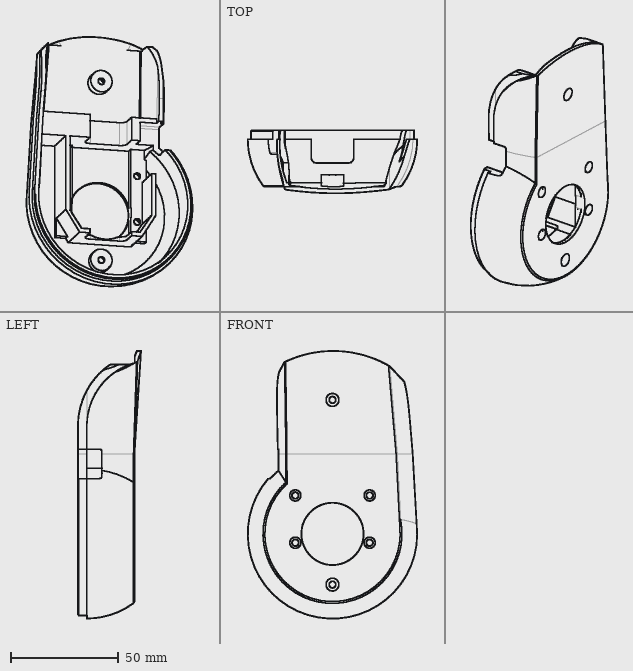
import cadquery as cq
import math


WALL = 2.0
LIP_STEP = 1.5
LIP_THICKNESS = 2.0
LIP_HEIGHT = 4.2
RIM_Y = 26.4
WALL_Y = RIM_Y - LIP_HEIGHT
LIP_INSET = LIP_STEP + LIP_THICKNESS
EDGE_BEVEL = 0.5

BOWL_RADIUS = 39.5
FACE_RADIUS = 32.0

SPOUT_BASE = (0.0, -21.6, -24.6, -25.4, 32.0, 37.7, 39.5)
SPOUT_MIDDLE = (37.4, -21.7, -24.6, -25.5, 30.1, 35.5, 37.4)
SPOUT_TOP = (86.0, -22.4, -25.5, -26.4, 25.9, 31.3, 33.3)
MID_DEPTH = WALL_Y / 2
TOP_CORNER_Y = -1.6
TOP_CROWN_Y = -3.12

TOP_LEFT = (-22.4, 80.0)
TOP_CROWN = (0.0, 85.24)
TOP_RIGHT = (26.5, 78.2)
SHOULDER_LEFT = (-27.0, 71.5)
SHOULDER_RIGHT = (34.0, 70.3)

OPENING_RADIUS = 30.3
OPENING_Z = 50.4
FACE_EDGE_Y = 0.0
LIP_TOP_Z = 79.0
TOP_THICKENING = 2.5

BORE_RADIUS = 14.45
FRAME_BORE_RADIUS = 15.0
SCREW_DIAMETER = 3.0
LARGE_HEAD_DIAMETER = 6.0
SMALL_HEAD_DIAMETER = 5.2
LARGE_SCREWS = [(0.0, 62.4), (0.0, -23.6)]
SMALL_SCREW_X = 17.3
SMALL_SCREW_Z = [17.9, -4.1]
BOSS_DIAMETER = 10.3
BOSS_Y = 5.5
HEAD_FLOOR = 1.0

FRAME_FLOOR_Z = -13.5
FRAME_FLOOR_HALF = 14.1
FRAME_SIDE_X = 19.7
FRAME_SHOULDER_Z = -5.0
FRAME_TOP_Z = 30.5
FRAME_LEFT_TOP_Z = 15.0
CROSS_WALL_THICKNESS = 11.0
CABLE_SLOT_WIDTH = 20.0
CABLE_SLOT_Y = 11.0
CABLE_SLOT_ROUND = 3.0

NOTCH_Y = 15.2
NOTCH_Z = (25.8, 39.4)
NOTCH_ROUND = 1.0
NOTCH_INNER_X = -FRAME_FLOOR_HALF

FAR = 100.0


def box(x_range, y_range, z_range):
    """Axis-aligned box from three (low, high) ranges."""
    size = [high - low for low, high in (x_range, y_range, z_range)]
    corner = (x_range[0], y_range[0], z_range[0])
    return cq.Workplane("XY").box(*size, centered=False).translate(corner)


def cylinder_y(x, z, diameter, y_start, y_end):
    """Cylinder along Y."""
    plane = cq.Workplane("XZ", origin=(x, y_start, z))
    return plane.circle(diameter / 2).extrude(y_start - y_end)


def bowl_arc_radius(y):
    """Outer bowl radius at depth y: an arc that meets the rim parallel to Y."""
    growth = BOWL_RADIUS - FACE_RADIUS
    arc = (growth**2 + WALL_Y**2) / (2 * growth)
    return BOWL_RADIUS - arc + math.sqrt(arc**2 - (WALL_Y - y) ** 2)


def revolve_y(outline):
    return outline.close().revolve(360, (0, 0, 0), (0, 1, 0))


def bowl_outside():
    return revolve_y(
        cq.Workplane("XY")
        .lineTo(FACE_RADIUS - EDGE_BEVEL, 0)
        .lineTo(bowl_arc_radius(EDGE_BEVEL), EDGE_BEVEL)
        .threePointArc((bowl_arc_radius(MID_DEPTH), MID_DEPTH), (BOWL_RADIUS, WALL_Y))
        .lineTo(BOWL_RADIUS - LIP_STEP, WALL_Y)
        .lineTo(BOWL_RADIUS - LIP_STEP, RIM_Y - EDGE_BEVEL)
        .lineTo(BOWL_RADIUS - LIP_STEP - EDGE_BEVEL, RIM_Y)
        .lineTo(0, RIM_Y)
    )


def bowl_cavity():
    lip_radius = BOWL_RADIUS - LIP_INSET
    halfway = (WALL + MID_DEPTH) / 2
    return revolve_y(
        cq.Workplane("XY")
        .moveTo(0, WALL)
        .lineTo(bowl_arc_radius(WALL) - WALL, WALL)
        .threePointArc((bowl_arc_radius(halfway) - WALL, halfway), (lip_radius, MID_DEPTH))
        .lineTo(lip_radius, RIM_Y)
        .lineTo(0, RIM_Y)
    )


def spout_section(section, face_inset, rim_inset, corner_y=0, crown_y=0, thickening=0):
    """Closed cross-section of the spout at one height, inset from its outer walls."""
    z, left_face, left_mid, left_rim, right_face, right_mid, right_rim = section
    mid_inset = (face_inset + rim_inset) / 2 + thickening
    front_y = corner_y + face_inset
    side_y = front_y + EDGE_BEVEL
    left_x = left_face + face_inset
    right_corner = (right_face - face_inset - EDGE_BEVEL, front_y)
    outline = cq.Workplane("XY", origin=(0, 0, z)).moveTo(left_x + EDGE_BEVEL, front_y)
    if crown_y == corner_y:
        outline = outline.lineTo(*right_corner)
    else:
        outline = outline.threePointArc((0, crown_y + face_inset), right_corner)
    outline = (
        outline
        .lineTo(right_face - face_inset, side_y)
        .threePointArc((right_mid - mid_inset, MID_DEPTH), (right_rim - rim_inset, WALL_Y))
        .lineTo(right_rim - rim_inset, RIM_Y)
        .lineTo(left_rim + rim_inset, RIM_Y)
        .lineTo(left_rim + rim_inset, WALL_Y)
        .threePointArc((left_mid + mid_inset, MID_DEPTH), (left_x, side_y))
        .close()
    )
    return outline.val()


def spout(face_inset, rim_inset, thickening=0):
    """Spout solid: straight-sided lofts below and above the middle section."""
    base = spout_section(SPOUT_BASE, face_inset, rim_inset)
    middle = spout_section(SPOUT_MIDDLE, face_inset, rim_inset)
    top = spout_section(SPOUT_TOP, face_inset, rim_inset, TOP_CORNER_Y, TOP_CROWN_Y, thickening)
    lower = cq.Solid.makeLoft([base, middle], True)
    upper = cq.Solid.makeLoft([middle, top], True)
    return cq.Workplane(lower).union(cq.Workplane(upper))


def opening_limit(depth, radius):
    """Material kept under the curved side opening, up to a given depth."""
    center_y = WALL_Y - OPENING_RADIUS
    diagonal = radius * math.sqrt(0.5)
    outline = (
        cq.Workplane("YZ", origin=(-FAR / 2, 0, 0))
        .moveTo(depth, -FAR)
        .lineTo(depth, OPENING_Z)
        .threePointArc((center_y + diagonal, OPENING_Z + diagonal), (center_y, OPENING_Z + radius))
        .lineTo(center_y, -FAR)
        .close()
    )
    return outline.extrude(FAR)


def top_outline():
    """Everything under the arched top edge."""
    slab = (
        cq.Workplane("XZ", origin=(0, FAR / 2, 0))
        .moveTo(-FAR, -FAR)
        .lineTo(-FAR, SHOULDER_LEFT[1])
        .lineTo(*SHOULDER_LEFT)
        .lineTo(*TOP_LEFT)
        .threePointArc(TOP_CROWN, TOP_RIGHT)
        .lineTo(*SHOULDER_RIGHT)
        .lineTo(FAR, SHOULDER_RIGHT[1])
        .lineTo(FAR, -FAR)
        .close()
    )
    return slab.extrude(FAR)


def outer_body():
    """Solid envelope: spout wall, its set-back lip, and the bowl."""
    whole_face = box((-FAR, FAR), (-FAR, FACE_EDGE_Y), (-FAR, FAR))
    wall_zone = opening_limit(WALL_Y, OPENING_RADIUS).union(whole_face)
    wall = spout(0, 0).intersect(wall_zone)
    lip_zone = opening_limit(RIM_Y, OPENING_RADIUS + LIP_HEIGHT)
    lip_zone = lip_zone.intersect(box((-FAR, FAR), (-FAR, FAR), (-FAR, LIP_TOP_Z)))
    lip = spout(LIP_STEP, LIP_STEP).intersect(lip_zone)
    return wall.union(lip).intersect(top_outline()).union(bowl_outside())


def frame_profile(offset):
    """Frame outline in XZ, with bevelled lower corners."""
    side = FRAME_SIDE_X + offset
    floor_half = FRAME_FLOOR_HALF + offset / 2
    floor = FRAME_FLOOR_Z - offset
    points = [
        (-side, FRAME_TOP_Z),
        (-side, FRAME_SHOULDER_Z),
        (-floor_half, floor),
        (floor_half, floor),
        (side, FRAME_SHOULDER_Z),
        (side, FRAME_TOP_Z),
    ]
    return cq.Workplane("XZ").polyline(points).close()


def motor_frame():
    """U-shaped frame closed by a cross wall, with a cable slot through both."""
    frame = frame_profile(WALL).extrude(-WALL_Y).cut(frame_profile(0).extrude(-WALL_Y))
    left_gap = box((-FAR, -FRAME_FLOOR_HALF), (0, FAR), (FRAME_LEFT_TOP_Z, FAR))
    frame = frame.cut(left_gap)
    cross_wall = box((-FAR, FAR), (WALL / 2, WALL_Y), (FRAME_TOP_Z, FRAME_TOP_Z + CROSS_WALL_THICKNESS))
    half_slot = CABLE_SLOT_WIDTH / 2
    slot = box((-half_slot, half_slot), (CABLE_SLOT_Y, FAR), (-FAR, FAR))
    slot = slot.edges("|Z and <Y").fillet(CABLE_SLOT_ROUND)
    bore = cylinder_y(0, 0, 2 * FRAME_BORE_RADIUS, WALL, WALL_Y)
    return frame.union(cross_wall).cut(slot).cut(bore)


def screw_pads():
    """Pads behind the motor screws and round bosses behind the two larger screws."""
    height = (FRAME_FLOOR_Z, FRAME_TOP_Z)
    right = box((FRAME_FLOOR_HALF, FRAME_SIDE_X + WALL), (WALL / 2, BOSS_Y), height)
    pads = right.union(right.mirror("YZ"))
    for x, z in LARGE_SCREWS:
        pads = pads.union(cylinder_y(x, z, BOSS_DIAMETER, -WALL / 2, BOSS_Y))
    return pads


def screw_hole(x, z, head_diameter):
    head = cylinder_y(x, z, head_diameter, -FAR, BOSS_Y - HEAD_FLOOR)
    return head.union(cylinder_y(x, z, SCREW_DIAMETER, -FAR, WALL_Y))


def wall_notch():
    """Notch through the left wall, continued into the frame."""
    notch = box((-FAR, NOTCH_INNER_X), (NOTCH_Y, FAR), NOTCH_Z)
    return notch.edges("|X and <Y").fillet(NOTCH_ROUND)


envelope = outer_body()
cavity = bowl_cavity().union(spout(WALL, LIP_INSET, TOP_THICKENING))
fittings = motor_frame().union(screw_pads()).intersect(envelope)

result = envelope.cut(cavity).union(fittings)
result = result.cut(cylinder_y(0, 0, 2 * BORE_RADIUS, -FAR, FAR))
for x, z in LARGE_SCREWS:
    result = result.cut(screw_hole(x, z, LARGE_HEAD_DIAMETER))
for x in (-SMALL_SCREW_X, SMALL_SCREW_X):
    for z in SMALL_SCREW_Z:
        result = result.cut(screw_hole(x, z, SMALL_HEAD_DIAMETER))
result = result.cut(wall_notch())